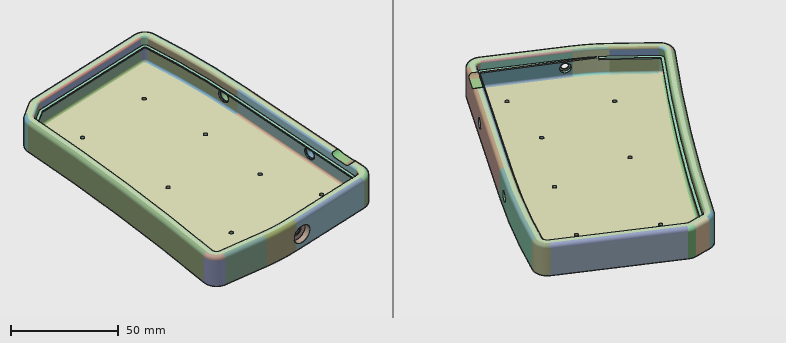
import cadquery as cq
import math

length = 149.4
width = 97.9
height = 17.6
corner_radius = 7.5

back_arc_end_x = 62.7
back_arc_radius = 407.9
right_arc_top_y = 46.9
right_arc_radius = 104.6
right_lean = math.radians(9.9)
front_arc_start = (12.0, 6.5)
front_corner_y = -0.72
cut_corner_y = 19.1
cut_corner_angle = math.radians(58)

wall = 5.1
floor = 3.0
floor_fillet = 1.0
rim_outer_fillet = 2.0
rim_inner_fillet = 1.0

ledge_width = 1.5
ledge_top = 13.0
ledge_thickness = 0.7
taper_start_y = 90.1
taper_end_y = 35.0
taper_end_x = 143.7
wall_overlap = 0.7

floor_hole_diameter = 2.0
floor_holes = [(24.7, 69.3), (62.7, 72.0), (100.8, 70.4), (131.2, 80.7),
               (24.7, 29.5), (77.8, 33.2), (121.5, 31.7)]

port_z = 8.0
back_port_xs = [53.5, 110.5]
back_port_steps = [(6.4, 0.7), (5.4, 2 * wall)]
right_port_y = 50.3
right_port_inner_steps = [(5.5, 1.5), (3.6, wall)]
right_port_recess_diameter = 10.0
right_port_recess_start = 2.0

notch_x = 131.2
notch_flat = 6.0
notch_side_radius = 3.5
notch_depth = 1.6


def arc_drop(radius, run):
    """Distance that an arc falls away from its tangent after a run along it."""
    return radius - math.sqrt(radius ** 2 - run ** 2)


def sharp_outline():
    """Outer outline at Z = 0 with its corners still sharp."""
    back_left = (0, width - arc_drop(back_arc_radius, back_arc_end_x))
    back_middle = (back_arc_end_x / 2, width - arc_drop(back_arc_radius, back_arc_end_x / 2))

    right_arc_run = right_arc_radius * math.sin(right_lean)
    right_arc_end = (length - arc_drop(right_arc_radius, right_arc_run), right_arc_top_y - right_arc_run)
    right_arc_middle = (length - arc_drop(right_arc_radius, right_arc_run / 2),
                        right_arc_top_y - right_arc_run / 2)

    corner_x = right_arc_end[0] - (right_arc_end[1] - front_corner_y) * math.tan(right_lean)
    start_x, start_y = front_arc_start
    front_run = corner_x - start_x
    front_drop = start_y - front_corner_y
    front_arc_radius = (front_run ** 2 + front_drop ** 2) / (2 * front_drop)
    front_middle = (start_x + front_run / 2, start_y - arc_drop(front_arc_radius, front_run / 2))

    cut_corner_x = (cut_corner_y - start_y) / math.tan(cut_corner_angle)

    return (
        cq.Workplane("XY")
        .moveTo(0, cut_corner_y)
        .lineTo(*back_left)
        .threePointArc(back_middle, (back_arc_end_x, width))
        .lineTo(length, width)
        .lineTo(length, right_arc_top_y)
        .threePointArc(right_arc_middle, right_arc_end)
        .lineTo(corner_x, front_corner_y)
        .threePointArc(front_middle, front_arc_start)
        .lineTo(cut_corner_x, start_y)
        .close()
    )


def inset_prism(inset, bottom, top):
    """Prism of the outline with rounded corners, moved inward by inset."""
    core = sharp_outline().offset2D(-corner_radius)
    return core.offset2D(corner_radius - inset).extrude(top - bottom).translate((0, 0, bottom))


def make_shell():
    """Open tray with rounded rim edges and a rounded floor edge."""
    outer = inset_prism(0, 0, height).faces(">Z").edges().fillet(rim_outer_fillet)
    cavity = inset_prism(wall, floor, height).faces("<Z").edges().fillet(floor_fillet)
    shell = outer.cut(cavity)
    inner_rim = shell.faces(">Z").wires(cq.selectors.LengthNthSelector(0))
    return shell.newObject(inner_rim.edges().vals()).fillet(rim_inner_fillet)


def make_ledge():
    """Flat ledge that follows the wall, thinned along the right side."""
    bottom = ledge_top - ledge_thickness
    outer_inset = wall - wall_overlap
    ledge = inset_prism(outer_inset, bottom, ledge_top).cut(
        inset_prism(wall + ledge_width, bottom, ledge_top))

    full_edge_x = length - wall - ledge_width
    taper = (
        cq.Workplane("XY", origin=(0, 0, bottom))
        .moveTo(full_edge_x, taper_start_y)
        .lineTo(taper_end_x, taper_end_y)
        .lineTo(full_edge_x - ledge_width, taper_end_y)
        .close()
        .extrude(ledge_thickness)
    )
    return ledge.cut(taper)


def make_stepped_bore(inner_face, steps):
    """Concentric bores from an inner wall face, the widest one starting inside the cavity."""
    entry_diameter = steps[0][0]
    bore = inner_face.circle(entry_diameter / 2).extrude(-wall)
    for diameter, depth in steps:
        bore = bore.union(inner_face.circle(diameter / 2).extrude(depth))
    return bore


def make_back_ports():
    """Cutters for the openings in the back wall."""
    ports = cq.Workplane("XY")
    for x in back_port_xs:
        drop = arc_drop(back_arc_radius, max(0, back_arc_end_x - x))
        inner_face = cq.Workplane(cq.Plane((x, width - drop - wall, port_z), normal=(0, 1, 0)))
        ports = ports.add(make_stepped_bore(inner_face, back_port_steps))
    return ports.combine()


def make_right_port():
    """Cutter for the opening in the right wall, with a wide recess on the outside."""
    inner_face = cq.Workplane(cq.Plane((length - wall, right_port_y, port_z), normal=(1, 0, 0)))
    recess = (
        inner_face.workplane(offset=right_port_recess_start)
        .circle(right_port_recess_diameter / 2)
        .extrude(wall)
    )
    return make_stepped_bore(inner_face, right_port_inner_steps).union(recess)


def make_notch():
    """Cutter for the notch: flat bottom, sides curving up to the rim."""
    half_flat = notch_flat / 2
    side_run = math.sqrt(notch_side_radius ** 2 - (notch_side_radius - notch_depth) ** 2)
    side_middle_run = side_run / 2
    notch_z = height - notch_depth
    side_middle_z = notch_z + arc_drop(notch_side_radius, side_middle_run)
    return (
        cq.Workplane("XZ", origin=(notch_x, width, 0))
        .moveTo(-half_flat, notch_z)
        .lineTo(half_flat, notch_z)
        .threePointArc((half_flat + side_middle_run, side_middle_z), (half_flat + side_run, height))
        .lineTo(-half_flat - side_run, height)
        .threePointArc((-half_flat - side_middle_run, side_middle_z), (-half_flat, notch_z))
        .close()
        .extrude(wall)
    )


def make_floor_holes():
    """Cutters for the screw holes."""
    return cq.Workplane("XY").pushPoints(floor_holes).circle(floor_hole_diameter / 2).extrude(floor)


result = (
    make_shell()
    .union(make_ledge())
    .cut(make_back_ports())
    .cut(make_right_port())
    .cut(make_notch())
    .cut(make_floor_holes())
)